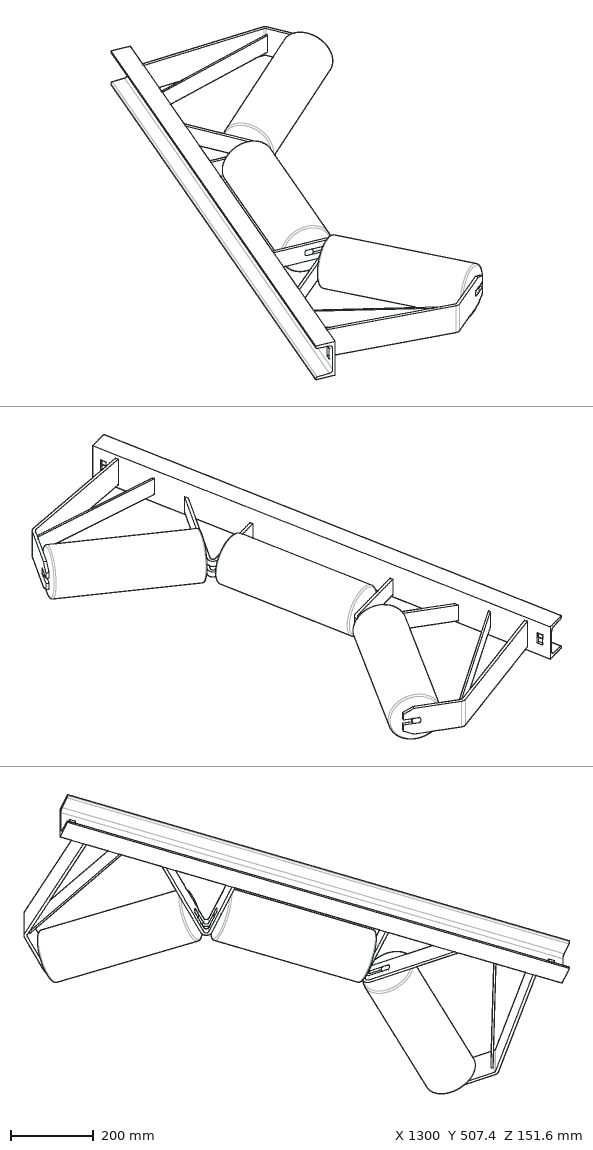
import cadquery as cq
import math

beam_length = 1300.0
beam_depth = 51.0
beam_height = 101.0
web_thickness = 6.0
flange_tip_thickness = 8.0
flange_root_thickness = 10.0
flange_root_radius = 9.0
flange_toe_radius = 4.0
beam_slot_width = 15.0
beam_slot_height = 31.0
beam_slot_inset = 30.0

roller_radius = 66.0
roller_length = 380.0
roller_edge_radius = 4.0
shaft_diameter = 22.0
shaft_flat_width = 15.0
roller_gap = 5.0
trough_angle = math.radians(45)
tilt_angle = math.radians(3)
center_roller_y = 166.0
center_roller_z = -20.0
wing_inner_x = -254.0
wing_inner_y = 194.0

plate_thickness = 8.0
inner_strip_height = 50.0
inner_bend_radius = 14.0
outer_plate_height = 80.0
outer_bend_radius = 14.0
outer_foot_x = -585.0
outer_leg_lean = math.radians(5)
outer_tip_y = 494.0
tip_chamfer_length = 26.0
tip_chamfer_height = 14.0
brace_thickness = 5.0
brace_height = 50.0
brace_foot_x = -480.0
brace_lean = math.radians(20)
brace_top_y = 387.0

shaft_overhang = roller_gap + plate_thickness
slot_reach = 130.0
slot_depth = 26.0

trough_cos = math.cos(trough_angle)
trough_sin = math.sin(trough_angle)
wing_direction = (-trough_cos, trough_sin)
up_direction = (trough_sin, trough_cos)

center_plane = cq.Plane(
    origin=(-roller_length / 2, center_roller_y, center_roller_z),
    xDir=(0, 1, 0),
    normal=(1, 0, 0),
)
wing_plane = cq.Plane(
    origin=(wing_inner_x, wing_inner_y, center_roller_z),
    xDir=(*up_direction, 0),
    normal=(
        wing_direction[0] * math.cos(tilt_angle),
        wing_direction[1] * math.cos(tilt_angle),
        math.sin(tilt_angle),
    ),
)


def step(point, direction, distance):
    """Point reached from a plan point by moving along a plan direction."""
    return (point[0] + distance * direction[0], point[1] + distance * direction[1])


def crossing(point_a, direction_a, point_b, direction_b):
    """Point where two plan lines cross."""
    determinant = direction_a[1] * direction_b[0] - direction_a[0] * direction_b[1]
    gap_x = point_b[0] - point_a[0]
    gap_y = point_b[1] - point_a[1]
    distance = (gap_y * direction_b[0] - gap_x * direction_b[1]) / determinant
    return step(point_a, direction_a, distance)


def make_beam():
    """Channel with tapered flanges, rounded at root and toe, and a bolt slot near each end."""
    half = beam_height / 2
    profile = [
        (0, half),
        (beam_depth, half),
        (beam_depth, -half),
        (0, -half),
        (0, -half + flange_tip_thickness),
        (beam_depth - web_thickness, -half + flange_root_thickness),
        (beam_depth - web_thickness, half - flange_root_thickness),
        (0, half - flange_tip_thickness),
    ]
    beam = cq.Workplane("YZ").polyline(profile).close().extrude(beam_length / 2, both=True)
    for side in (-1, 1):
        root = (0, beam_depth - web_thickness, side * (half - flange_root_thickness))
        beam = beam.edges(cq.NearestToPointSelector(root)).fillet(flange_root_radius)
        toe = (0, 0, side * (half - flange_tip_thickness))
        beam = beam.edges(cq.NearestToPointSelector(toe)).fillet(flange_toe_radius)
    slot_x = beam_length / 2 - beam_slot_inset
    slots = (
        cq.Workplane("XZ")
        .pushPoints([(-slot_x, 0), (slot_x, 0)])
        .rect(beam_slot_width, beam_slot_height)
        .extrude(-beam_depth)
    )
    return beam.cut(slots)


def make_roller(plane):
    """Roller with a plain shaft through it, flattened on both sides to sit in the bracket slots."""
    shell = cq.Workplane(plane).circle(roller_radius).extrude(roller_length)
    shell = shell.faces("%PLANE").edges().fillet(roller_edge_radius)
    shaft_length = roller_length + 2 * shaft_overhang
    shaft_start = cq.Workplane(plane).workplane(offset=-shaft_overhang)
    shaft = shaft_start.circle(shaft_diameter / 2).extrude(shaft_length)
    flats = shaft_start.rect(shaft_diameter, shaft_flat_width).extrude(shaft_length)
    return shell.union(shaft.intersect(flats))


def shaft_slot(plane, axial_start, axial_end):
    """Cutter for an open slot whose round bottom carries the flattened shaft."""
    radius = shaft_diameter / 2
    half = shaft_flat_width / 2
    bottom_x = -math.sqrt(radius**2 - half**2)
    return (
        cq.Workplane(plane)
        .workplane(offset=axial_start)
        .moveTo(slot_reach, half)
        .lineTo(bottom_x, half)
        .threePointArc((-radius, 0), (bottom_x, -half))
        .lineTo(slot_reach, -half)
        .close()
        .extrude(axial_end - axial_start)
    )


def bent_plate(foot, leg_direction, arm_point, arm_direction, arm_tip_y, side, radius, height, z):
    """Plate standing on edge: a leg from the beam, a bend and a straight arm.

    The given lines are the outer faces; side is +1 when the thickness lies to the right of
    the way from foot to tip and -1 when it lies to the left.
    """
    def inward(direction):
        return (side * direction[1], -side * direction[0])

    def at_y(point, direction, y):
        return step(point, direction, (y - point[1]) / direction[1])

    bend = crossing(foot, leg_direction, arm_point, arm_direction)
    leg_inner = step(foot, inward(leg_direction), plate_thickness)
    arm_inner = step(arm_point, inward(arm_direction), plate_thickness)
    bend_inner = crossing(leg_inner, leg_direction, arm_inner, arm_direction)
    tip = at_y(arm_point, arm_direction, arm_tip_y)
    if arm_tip_y == beam_depth:
        tip_inner = at_y(arm_inner, arm_direction, arm_tip_y)
    else:
        tip_inner = step(tip, inward(arm_direction), plate_thickness)
    outline = [foot, bend, tip, tip_inner, bend_inner, at_y(leg_inner, leg_direction, foot[1])]
    plate = cq.Workplane("XY", origin=(0, 0, z)).polyline(outline).close()
    plate = plate.extrude(height / 2, both=True)
    plate = plate.edges(cq.NearestToPointSelector((*bend, z))).fillet(radius)
    return plate.edges(cq.NearestToPointSelector((*bend_inner, z))).fillet(radius - plate_thickness)


def make_inner_bracket():
    """Upright leg beside the centre roller, folded back down to the beam under the wing roller."""
    face_x = -roller_length / 2 - roller_gap
    arm_point = step((wing_inner_x, wing_inner_y), wing_direction, -roller_gap)
    arm_direction = (-up_direction[0], -up_direction[1])
    bracket = bent_plate(
        (face_x, beam_depth), (0, 1), arm_point, arm_direction, beam_depth,
        -1, inner_bend_radius, inner_strip_height, center_roller_z,
    )
    for plane in (center_plane, wing_plane):
        bracket = bracket.cut(shaft_slot(plane, -slot_depth, 0))
    return bracket


def make_outer_bracket():
    """Leaning leg folded inwards to carry the outer end of the wing roller's shaft."""
    leg_direction = (-math.sin(outer_leg_lean), math.cos(outer_leg_lean))
    wing_run = roller_length * math.cos(tilt_angle) + shaft_overhang
    arm_point = step((wing_inner_x, wing_inner_y), wing_direction, wing_run)
    bracket = bent_plate(
        (outer_foot_x, beam_depth), leg_direction, arm_point, up_direction, outer_tip_y,
        1, outer_bend_radius, outer_plate_height, 0,
    )
    tip = step(arm_point, up_direction, (outer_tip_y - arm_point[1]) / up_direction[1])
    tip_plane = cq.Plane(origin=(*tip, 0), xDir=(*up_direction, 0), normal=(*wing_direction, 0))
    half = outer_plate_height / 2
    for side in (-1, 1):
        corner = [
            (0, side * half),
            (-tip_chamfer_length, side * half),
            (0, side * (half - tip_chamfer_height)),
        ]
        cutter = cq.Workplane(tip_plane).polyline(corner).close()
        bracket = bracket.cut(cutter.extrude(plate_thickness, both=True))
    return bracket.cut(shaft_slot(wing_plane, roller_length, roller_length + slot_depth))


def make_brace(bracket):
    """Flat strip leaning from the beam to the bend of the outer bracket, trimmed to fit it."""
    rise = brace_top_y - beam_depth
    top_x = brace_foot_x - rise * math.tan(brace_lean)
    width = brace_thickness / math.cos(brace_lean)
    outline = [
        (brace_foot_x, beam_depth),
        (top_x, brace_top_y),
        (top_x + width, brace_top_y),
        (brace_foot_x + width, beam_depth),
    ]
    brace = cq.Workplane("XY").polyline(outline).close().extrude(brace_height / 2, both=True)
    return brace.cut(bracket)


beam = make_beam()
center_roller = make_roller(center_plane)
wing_roller = make_roller(wing_plane)
inner_bracket = make_inner_bracket()
outer_bracket = make_outer_bracket()
brace = make_brace(outer_bracket)

bodies = [beam.solids().val(), center_roller.solids().val()]
for left_body in (wing_roller, inner_bracket, outer_bracket, brace):
    right_body = left_body.mirror("YZ")
    bodies.append(left_body.solids().val())
    bodies.append(right_body.solids().val())

result = cq.Compound.makeCompound(bodies)